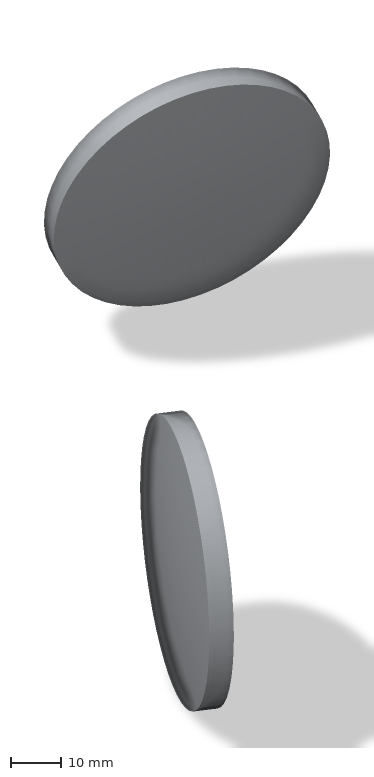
import cadquery as cq

radius = 30.0
total_thickness = 8.5
front_sag = 2.4
rim_width = 5.05
joint_x = 0.85
back_sag = total_thickness - front_sag - rim_width


def spherical_radius(sag):
    """Radius of the sphere whose cap over the full aperture has this height."""
    return (radius**2 + sag**2) / (2 * sag)


def cap_midpoint(edge_x, sag, direction):
    """Point on a spherical cap's profile, at half the rim radius."""
    sphere = spherical_radius(sag)
    vertex_x = edge_x + direction * sag
    mid_height = radius / 2
    mid_drop = sphere - (sphere**2 - mid_height**2) ** 0.5
    return vertex_x - direction * mid_drop, mid_height


def revolve_about_axis(profile):
    return profile.close().revolve(360, (0, 0, 0), (1, 0, 0))


def make_front_element():
    """Convex front face, flat back face."""
    profile = (
        cq.Workplane("XZ")
        .moveTo(-front_sag, 0)
        .threePointArc(cap_midpoint(0, front_sag, -1), (0, radius))
        .lineTo(joint_x, radius)
        .lineTo(joint_x, 0)
    )
    return revolve_about_axis(profile)


def make_back_element():
    """Flat front face, convex back face."""
    profile = (
        cq.Workplane("XZ")
        .moveTo(joint_x, 0)
        .lineTo(joint_x, radius)
        .lineTo(rim_width, radius)
        .threePointArc(cap_midpoint(rim_width, back_sag, 1), (rim_width + back_sag, 0))
    )
    return revolve_about_axis(profile)


front_element = make_front_element()
back_element = make_back_element()

result = cq.Compound.makeCompound([front_element.val(), back_element.val()])